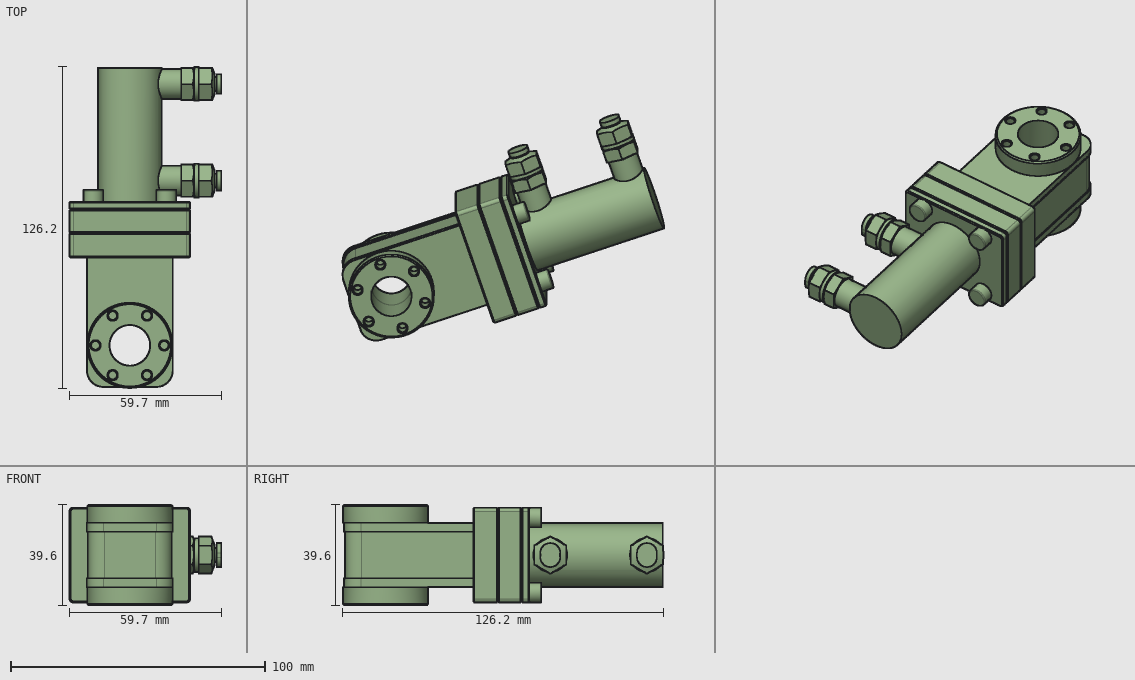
import cadquery as cq
import math


housing_width = 33.8
housing_height = 25.2
housing_front = -16.4
housing_corner = 6.5
cover_thickness = 3.4
body_inset = 0.4

flange_radius = 16.8
flange_thickness = 7.2
flange_chamfer = 0.6
bore_diameter = 15.9
port_hole_count = 6
port_hole_circle_radius = 13.5
port_hole_diameter = 3.4
port_hole_chamfer = 0.4

plate_width = 47.4
plate_height = 37.3
stack_front = 34.4
plate_thicknesses = [9.7, 9.2, 3.2]
plate_corner = 1.5
plate_edge_chamfer = 0.5
stack_back = stack_front + sum(plate_thicknesses)

head_diameter = 7.8
head_height = 4.7
head_fillet = 0.4
head_offset_x = 14.4
head_offset_z = 14.8

tube_radius = 12.6
tube_back = 109.0

fitting_positions_y = [64.7, 102.7]
stub_radius = 5.9
nut_across_flats = 12.7
nut_corner_diameter = nut_across_flats / math.cos(math.pi / 6)
first_nut_start = 20.2
first_nut_corner_end = 24.7
ring_start = 25.3
ring_radius = 6.7
second_nut_start = 27.0
second_nut_corner_end = 32.0
nut_tip = 33.4
first_nut_tip_radius = 5.8
second_nut_tip_radius = 3.7
neck_radius = 2.8
collar_start = 34.0
collar_end = 36.0
collar_width = 7.8
collar_length = 9.5


def rounded_front_slab(width, front, height):
    """Slab centred on Z, from its rounded front corners back to the plate stack."""
    depth = stack_front - front
    slab = cq.Workplane("XY").box(width, depth, height).translate((0, front + depth / 2, 0))
    return slab.edges("|Z and <Y").fillet(housing_corner)


def housing():
    covers = rounded_front_slab(housing_width, housing_front, housing_height)
    body_height = housing_height - 2 * cover_thickness
    body_width = housing_width - 2 * body_inset
    body = rounded_front_slab(body_width, housing_front + body_inset, body_height)
    gap_size = 4 * housing_width
    gap = cq.Workplane("XY").box(gap_size, gap_size, body_height)
    return covers.cut(gap).union(body)


def top_flange():
    flange = (
        cq.Workplane("XY", origin=(0, 0, housing_height / 2))
        .circle(flange_radius)
        .extrude(flange_thickness)
    )
    return flange.faces(">Z").chamfer(flange_chamfer)


def top_port_holes():
    hole_radius = port_hole_diameter / 2
    mouth_radius = hole_radius + port_hole_chamfer
    profile = [
        (0, 0),
        (mouth_radius, 0),
        (hole_radius, -port_hole_chamfer),
        (hole_radius, -flange_thickness),
        (0, -flange_thickness),
    ]
    hole = cq.Workplane("XZ").polyline(profile).close().revolve(360, (0, 0, 0), (0, 1, 0)).val()
    flange_top = housing_height / 2 + flange_thickness
    return (
        cq.Workplane("XY", origin=(0, 0, flange_top))
        .polarArray(port_hole_circle_radius, 0, 360, port_hole_count)
        .eachpoint(lambda place: hole.moved(place), combine=False)
    )


def plate(front, thickness):
    slab = cq.Workplane("XY").box(plate_width, thickness, plate_height)
    slab = slab.edges("|Y").fillet(plate_corner)
    slab = slab.faces("<Y or >Y").chamfer(plate_edge_chamfer)
    return slab.translate((0, front + thickness / 2, 0))


def plate_stack():
    front = stack_front
    stack = cq.Workplane("XY")
    for thickness in plate_thicknesses:
        stack = stack.union(plate(front, thickness))
        front += thickness
    return stack


def along_y(radius, start, end, x=0, z=0):
    return cq.Workplane("XZ", origin=(x, start, z)).circle(radius).extrude(start - end)


def along_x(radius, start, end):
    return cq.Workplane("YZ", origin=(start, 0, 0)).circle(radius).extrude(end - start)


def screw_heads():
    heads = cq.Workplane("XY")
    for x in (-head_offset_x, head_offset_x):
        for z in (-head_offset_z, head_offset_z):
            head = along_y(head_diameter / 2, stack_back, stack_back + head_height, x, z)
            heads = heads.union(head.faces(">Y").fillet(head_fillet))
    return heads


def tapered_nut(start, corner_end, tip, tip_radius):
    """Hexagon along X, corners at +Z and -Z, turned to a cone at its far end."""
    corner_radius = nut_corner_diameter / 2
    hexagon = (
        cq.Workplane("YZ", origin=(start, 0, 0))
        .transformed(rotate=(0, 0, 90))
        .polygon(6, nut_corner_diameter)
        .extrude(tip - start)
    )
    envelope = (
        cq.Workplane("XY")
        .polyline([
            (start, 0),
            (start, corner_radius),
            (corner_end, corner_radius),
            (tip, tip_radius),
            (tip, 0),
        ])
        .close()
        .revolve(360, (0, 0, 0), (1, 0, 0))
    )
    return hexagon.intersect(envelope)


def fitting(y):
    stub = along_x(stub_radius, 0, first_nut_start)
    first_nut = tapered_nut(first_nut_start, first_nut_corner_end, ring_start, first_nut_tip_radius)
    ring = along_x(ring_radius, ring_start, second_nut_start)
    second_nut = tapered_nut(second_nut_start, second_nut_corner_end, nut_tip, second_nut_tip_radius)
    neck = along_x(neck_radius, nut_tip, collar_start)
    collar = (
        cq.Workplane("YZ", origin=(collar_start, 0, 0))
        .slot2D(collar_length, collar_width, 90)
        .extrude(collar_end - collar_start)
    )
    parts = stub.union(first_nut).union(ring).union(second_nut).union(neck).union(collar)
    return parts.translate((0, y, 0))


flange = top_flange()
port_holes = top_port_holes()
bore = cq.Workplane("XY").circle(bore_diameter / 2).extrude(housing_height + flange_thickness, both=True)

result = housing().union(flange).union(flange.mirror("XY"))
result = result.cut(bore).cut(port_holes).cut(port_holes.mirror("XY"))
result = result.union(plate_stack()).union(screw_heads())
result = result.union(along_y(tube_radius, stack_back, tube_back))
for fitting_y in fitting_positions_y:
    result = result.union(fitting(fitting_y))